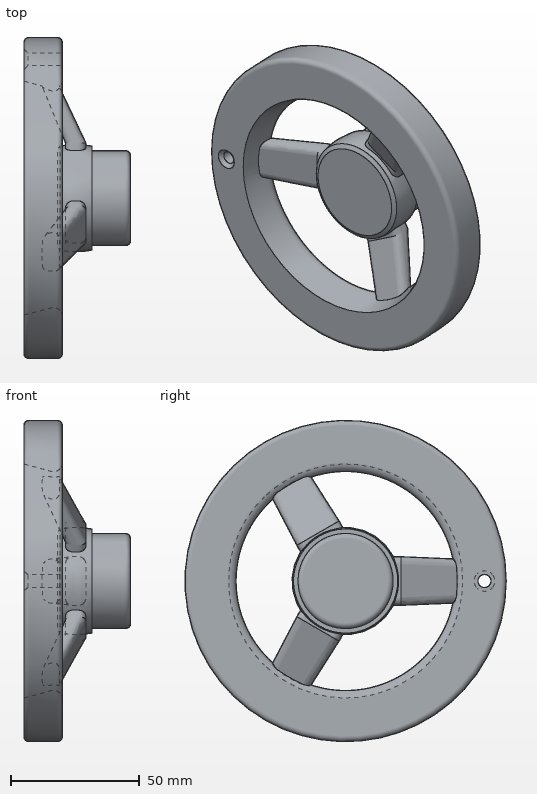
import cadquery as cq

RIM_RADIUS = 62.5
RIM_WIDTH = 15.0
RIM_EDGE_FILLET = 2.0
RIM_BORE_FRONT_RADIUS = 45.5
RIM_BORE_BACK_RADIUS = 41.5
RIM_BORE_BACK_FILLET = 3.5

HUB_FRONT_X = 13.0
HUB_FACE_RADIUS = 18.5
HUB_CHAMFER_DEPTH = 1.0
HUB_BELLY_RADIUS = 20.9
HUB_END_RADIUS = 20.2
HUB_STEP_X = 26.5
NECK_RADIUS = 37.0 / 2
NECK_END_X = 41.5
NECK_END_FILLET = 2.0

SPOKE_COUNT = 3
SPOKE_START_RADIUS = 17.5
SPOKE_BEND_RADIUS = 21.5
SPOKE_END_RADIUS = 45.0
SPOKE_BEND_X = 20.1
SPOKE_END_X = 9.8
SPOKE_BEND_THICKNESS = 8.0
SPOKE_END_THICKNESS = 6.5
SPOKE_BEND_WIDTH = 19.0
SPOKE_END_WIDTH = 17.0
SPOKE_CORNER_RADIUS = 3.0

HANDLE_HOLE_RADIUS = 54.0
HANDLE_HOLE_DIAMETER = 5.0
COUNTERSINK_DIAMETER = 8.0
COUNTERSINK_ANGLE = 90.0

X_AXIS_START = (0, 0, 0)
X_AXIS_END = (1, 0, 0)
SELECTION_MARGIN = 0.1


def turn_about_x(outline):
    """Turn a closed (x, radius) outline into a solid of revolution."""
    return outline.close().revolve(360, X_AXIS_START, X_AXIS_END)


def circles_at(x, radius):
    """Select the circular edges at x that are no larger than the given radius."""
    margin = SELECTION_MARGIN
    reach = radius + margin
    return cq.selectors.BoxSelector(
        (x - margin, -reach, -reach), (x + margin, reach, reach), boundingbox=True
    )


def make_rim():
    outline = cq.Workplane("XY").polyline([
        (0, RIM_BORE_FRONT_RADIUS),
        (0, RIM_RADIUS),
        (RIM_WIDTH, RIM_RADIUS),
        (RIM_WIDTH, RIM_BORE_BACK_RADIUS),
    ])
    rim = turn_about_x(outline)
    rim = rim.edges(circles_at(RIM_WIDTH, RIM_BORE_BACK_RADIUS)).fillet(RIM_BORE_BACK_FILLET)
    outer_edges = cq.selectors.RadiusNthSelector(-1)
    return rim.edges("%CIRCLE").edges(outer_edges).fillet(RIM_EDGE_FILLET)


def make_hub():
    belly_start_x = HUB_FRONT_X + HUB_CHAMFER_DEPTH
    belly_middle_x = (belly_start_x + HUB_STEP_X) / 2
    outline = (
        cq.Workplane("XY")
        .moveTo(HUB_FRONT_X, 0)
        .lineTo(HUB_FRONT_X, HUB_FACE_RADIUS)
        .lineTo(belly_start_x, HUB_END_RADIUS)
        .threePointArc((belly_middle_x, HUB_BELLY_RADIUS), (HUB_STEP_X, HUB_END_RADIUS))
        .lineTo(HUB_STEP_X, NECK_RADIUS)
        .lineTo(NECK_END_X, NECK_RADIUS)
        .lineTo(NECK_END_X, 0)
    )
    return turn_about_x(outline).faces(">X").edges().fillet(NECK_END_FILLET)


def spoke_section(thickness, width):
    """Rounded rectangle across a spoke, with its thickness along X and its width along Z."""
    return cq.Sketch().rect(thickness, width).vertices().fillet(SPOKE_CORNER_RADIUS)


def make_spoke():
    """Build the spoke that points along +Y."""
    bend_section = spoke_section(SPOKE_BEND_THICKNESS, SPOKE_BEND_WIDTH)
    end_section = spoke_section(SPOKE_END_THICKNESS, SPOKE_END_WIDTH)
    bend_plane = cq.Workplane("XZ", origin=(SPOKE_BEND_X, SPOKE_BEND_RADIUS, 0))
    root = bend_plane.placeSketch(bend_section).extrude(SPOKE_BEND_RADIUS - SPOKE_START_RADIUS)
    end_shift = cq.Vector(SPOKE_END_X - SPOKE_BEND_X, 0, SPOKE_BEND_RADIUS - SPOKE_END_RADIUS)
    bar = bend_plane.placeSketch(bend_section, end_section.moved(cq.Location(end_shift))).loft()
    return root.union(bar)


def drill_handle_hole(body):
    return (
        body.faces("<X").workplane(origin=(0, HANDLE_HOLE_RADIUS, 0))
        .cskHole(HANDLE_HOLE_DIAMETER, COUNTERSINK_DIAMETER, COUNTERSINK_ANGLE)
    )


wheel = make_rim().union(make_hub())
for index in range(SPOKE_COUNT):
    angle = index * 360 / SPOKE_COUNT
    wheel = wheel.union(make_spoke().rotate(X_AXIS_START, X_AXIS_END, angle))
result = drill_handle_hole(wheel)